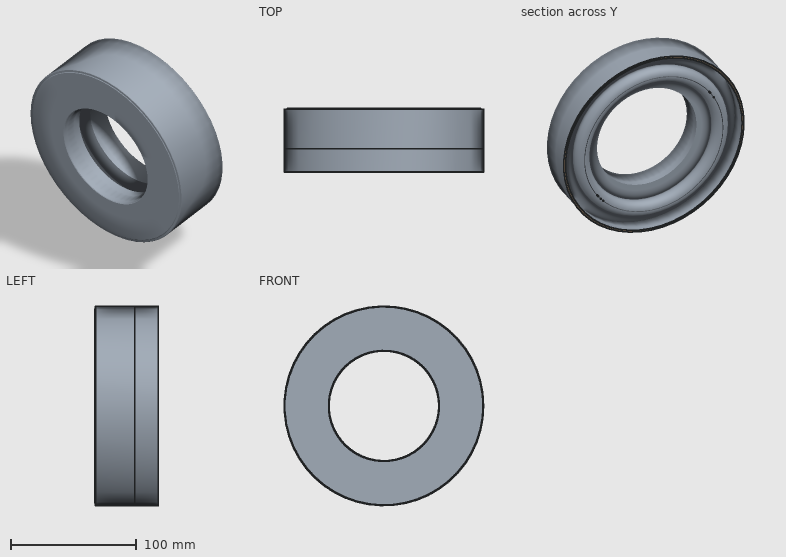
import cadquery as cq

outer_diameter = 158.8
bore_diameter = 87.3
total_width = 50.8
edge_chamfer = 0.5
sleeve_chamfer = 0.3

front_washer_width = 18.7
rear_washer_start = 32.0
sleeve_end = 50.3

front_washer_diameter = 157.8
rear_washer_diameter = 154.6

rolling_ring_center_radius = 60.8
rolling_ring_section_radius = (rear_washer_start - front_washer_width) / 2
rolling_ring_position = (front_washer_width + rear_washer_start) / 2


def ring(outer, inner, start, end):
    """Plain ring about the Y axis between two axial positions."""
    return (
        cq.Workplane("XZ", origin=(0, start, 0))
        .circle(outer / 2)
        .circle(inner / 2)
        .extrude(-(end - start))
    )


def make_sleeve():
    """Outer sleeve whose bore steps down behind the front washer."""
    sleeve = ring(outer_diameter, rear_washer_diameter, 0, sleeve_end)
    sleeve = sleeve.cut(ring(front_washer_diameter, bore_diameter, 0, front_washer_width))
    for end_face in ("<Y", ">Y"):
        outer_rim = cq.selectors.RadiusNthSelector(-1)
        sleeve = sleeve.faces(end_face).edges(outer_rim).chamfer(sleeve_chamfer)
    return sleeve


def make_front_washer():
    """Front washer, flush with the sleeve, with a chamfered bore."""
    washer = ring(front_washer_diameter, bore_diameter, 0, front_washer_width)
    bore_rim = cq.selectors.RadiusNthSelector(0)
    return washer.faces("<Y").edges(bore_rim).chamfer(edge_chamfer)


def make_rear_washer():
    """Rear washer, standing slightly proud of the sleeve at its back face."""
    washer = ring(rear_washer_diameter, bore_diameter, rear_washer_start, total_width)
    return washer.faces(">Y").edges().chamfer(edge_chamfer)


def make_rolling_ring():
    """Round-section ring touching the inner faces of both washers."""
    return (
        cq.Workplane("XY")
        .center(rolling_ring_center_radius, rolling_ring_position)
        .circle(rolling_ring_section_radius)
        .revolve(
            360,
            (-rolling_ring_center_radius, 0),
            (-rolling_ring_center_radius, 1),
        )
    )


sleeve = make_sleeve()
front_washer = make_front_washer()
rear_washer = make_rear_washer()
rolling_ring = make_rolling_ring()

result = cq.Compound.makeCompound(
    [sleeve.val(), front_washer.val(), rear_washer.val(), rolling_ring.val()]
)